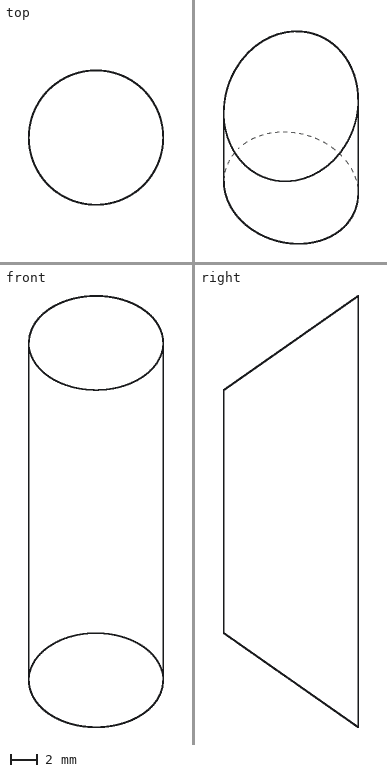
import cadquery as cq
import math

diameter = 10.0
long_side = 32.0
end_slope = 35.0

radius = diameter / 2
half_long = long_side / 2
half_short = half_long - diameter * math.tan(math.radians(end_slope))

pin = cq.Workplane("XY").circle(radius).extrude(half_long, both=True)

side_outline = (
    cq.Workplane("YZ")
    .polyline([
        (radius, -half_long),
        (radius, half_long),
        (-radius, half_short),
        (-radius, -half_short),
    ])
    .close()
    .extrude(radius, both=True)
)

result = pin.intersect(side_outline)